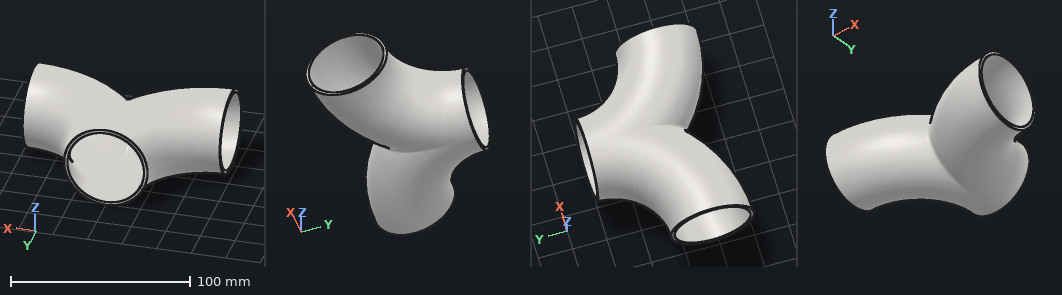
import cadquery as cq

bend_radius = 57.0
tube_diameter = 48.3
wall = 2.0
crotch_fillet = 2.0
bore_ridge_fillet = 2.0
blend_end_gap = 1.1

outer_radius = tube_diameter / 2
bore_radius = outer_radius - wall
mouth_y = bend_radius
blend_end_y = mouth_y - blend_end_gap
block_size = 4 * bend_radius


def trimming_block(center_x, center_y):
    """Oversized cube used to trim the bends."""
    return cq.Workplane().box(block_size, block_size, block_size).translate((center_x, center_y, 0))


def mirrored_pair(bend):
    """The right-hand bend merged with its mirror image on the left."""
    return bend.union(bend.mirror("YZ"))


def fork(tube_radius, blend_radius):
    """Two quarter bends sharing one mouth, with the edge between them rounded."""
    right_side = trimming_block(block_size / 2, 0)
    right_bend = (
        cq.Workplane("XZ", origin=(0, mouth_y, 0))
        .circle(tube_radius)
        .revolve(90, (bend_radius, 0, 0), (bend_radius, 1, 0))
        .intersect(right_side)
    )

    mouth_end = trimming_block(0, blend_end_y + block_size / 2)
    short_fork = mirrored_pair(right_bend.cut(mouth_end))

    meeting_zone = cq.selectors.BoxSelector(
        (-blend_radius, -tube_radius, -tube_radius),
        (blend_radius, blend_end_y - blend_end_gap / 2, tube_radius),
    )
    rounded_fork = short_fork.edges(meeting_zone).fillet(blend_radius)
    return mirrored_pair(right_bend).union(rounded_fork)


body = fork(outer_radius, crotch_fillet)
bores = fork(bore_radius, bore_ridge_fillet)

result = body.cut(bores)